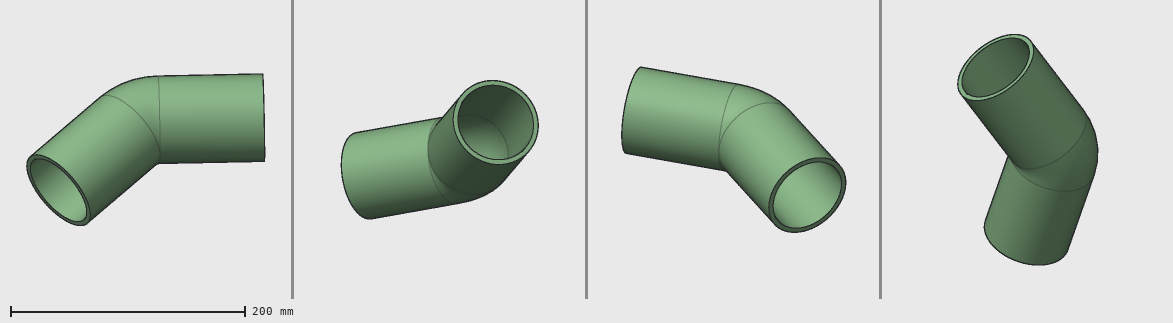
import cadquery as cq
import math

outer_radius = 37.5
wall = 4.3
bend_angle = 45
bend_radius = 37.7
inlet_length = 86.3
overall_length = 202.5

turn = math.radians(bend_angle)
bend_end = (
    bend_radius * (1 - math.cos(turn)),
    inlet_length + bend_radius * math.sin(turn),
)
rim_rise = outer_radius * math.sin(turn)
outlet_length = (overall_length - bend_end[1] - rim_rise) / math.cos(turn)
outlet_direction = (math.sin(turn), math.cos(turn), 0)


def leg(radius, start, direction, length):
    """Straight round bar starting at a point of the XY plane."""
    bar = cq.Solid.makeCylinder(radius, length, cq.Vector(*start, 0), cq.Vector(*direction))
    return cq.Workplane(bar)


def bend(radius):
    """Round bar swept about the bend axis, starting at the end of the inlet leg."""
    section = cq.Workplane("XZ", origin=(0, inlet_length, 0)).circle(radius)
    return section.revolve(bend_angle, (bend_radius, 0, 0), (bend_radius, -1, 0))


def elbow(radius):
    """Solid elbow of the given radius along the whole centreline."""
    inlet = leg(radius, (0, 0), (0, 1, 0), inlet_length)
    outlet = leg(radius, bend_end, outlet_direction, outlet_length)
    return inlet.union(bend(radius)).union(outlet)


result = elbow(outer_radius).cut(elbow(outer_radius - wall))